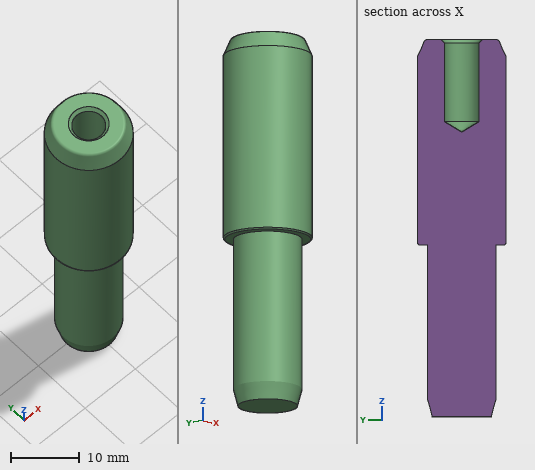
import cadquery as cq
import math

total_length = 55.0
head_radius = 6.5
head_length = 30.0
shank_radius = 5.0
shank_length = total_length - head_length

taper_length = 2.5
head_taper_inset = 1.1
shank_taper_inset = 0.65
head_rim_fillet = 0.5
shoulder_chamfer = 0.2

bore_radius = 2.5
bore_depth = 12.0
countersink_depth = 0.5
drill_point_angle = 118.0
drill_point_depth = bore_radius / math.tan(math.radians(drill_point_angle / 2))


def make_body():
    """Revolve the outer profile and round the rim of the top face."""
    profile = (
        cq.Workplane("XZ")
        .lineTo(shank_radius - shank_taper_inset, 0)
        .lineTo(shank_radius, taper_length)
        .lineTo(shank_radius, shank_length)
        .lineTo(head_radius - shoulder_chamfer, shank_length)
        .lineTo(head_radius, shank_length + shoulder_chamfer)
        .lineTo(head_radius, total_length - taper_length)
        .lineTo(head_radius - head_taper_inset, total_length)
        .lineTo(0, total_length)
        .close()
    )
    body = profile.revolve(360, (0, 0, 0), (0, 1, 0))
    return body.faces(">Z").edges().fillet(head_rim_fillet)


def make_bore():
    """Revolve the countersunk bore with its conical bottom."""
    bore_floor = total_length - bore_depth
    profile = (
        cq.Workplane("XZ")
        .moveTo(0, bore_floor - drill_point_depth)
        .lineTo(bore_radius, bore_floor)
        .lineTo(bore_radius, total_length - countersink_depth)
        .lineTo(bore_radius + countersink_depth, total_length)
        .lineTo(0, total_length)
        .close()
    )
    return profile.revolve(360, (0, 0, 0), (0, 1, 0))


result = make_body().cut(make_bore())